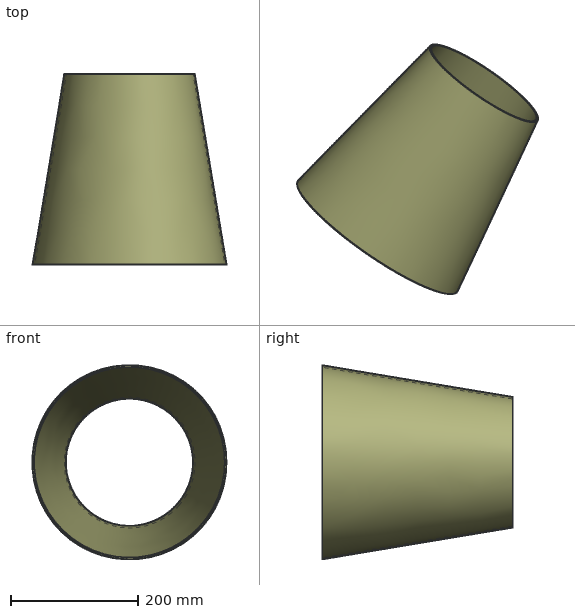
import cadquery as cq

large_diameter = 306.0
small_diameter = 206.0
length = 300.0
wall = 3.0

large_radius = large_diameter / 2
small_radius = small_diameter / 2
front_y = -length / 2
back_y = length / 2

wall_section = [
    (large_radius - wall, front_y),
    (large_radius, front_y),
    (small_radius, back_y),
    (small_radius - wall, back_y),
]

result = (
    cq.Workplane("XY")
    .polyline(wall_section)
    .close()
    .revolve(360, (0, 0, 0), (0, 1, 0))
)